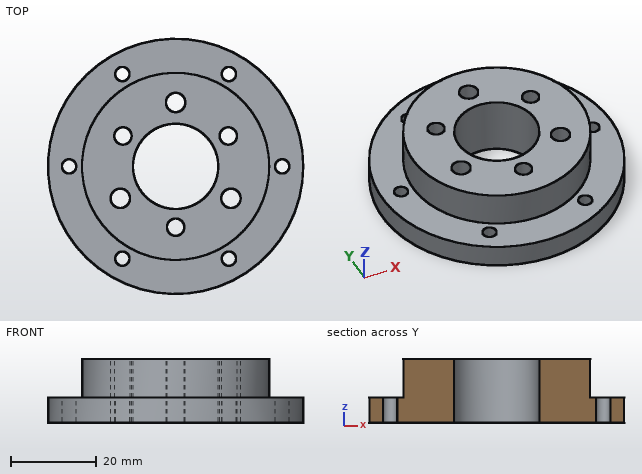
import cadquery as cq

flange_diameter = 60.0
flange_thickness = 6.0
hub_diameter = 44.0
total_height = 15.0
bore_diameter = 20.0

rim_hole_count = 6
rim_hole_diameter = 3.3
rim_hole_circle_radius = 25.0

hub_hole_count = 3
large_hole_diameter = 4.5
large_hole_circle_radius = 15.0
large_hole_start_angle = 90
small_hole_diameter = 4.0
small_hole_circle_radius = 14.3
small_hole_start_angle = large_hole_start_angle + 180 / hub_hole_count


def hole_ring(diameter, circle_radius, start_angle, count):
    """Full-height cylinders evenly spaced on a circle about the Z axis."""
    return (
        cq.Workplane("XY")
        .polarArray(circle_radius, start_angle, 360, count)
        .circle(diameter / 2)
        .extrude(total_height)
    )


flange = cq.Workplane("XY").circle(flange_diameter / 2).extrude(flange_thickness)
hub = cq.Workplane("XY").circle(hub_diameter / 2).extrude(total_height)
bore = cq.Workplane("XY").circle(bore_diameter / 2).extrude(total_height)

rim_holes = hole_ring(rim_hole_diameter, rim_hole_circle_radius, 0, rim_hole_count)
large_holes = hole_ring(
    large_hole_diameter, large_hole_circle_radius, large_hole_start_angle, hub_hole_count
)
small_holes = hole_ring(
    small_hole_diameter, small_hole_circle_radius, small_hole_start_angle, hub_hole_count
)

result = flange.union(hub).cut(bore).cut(rim_holes).cut(large_holes).cut(small_holes)